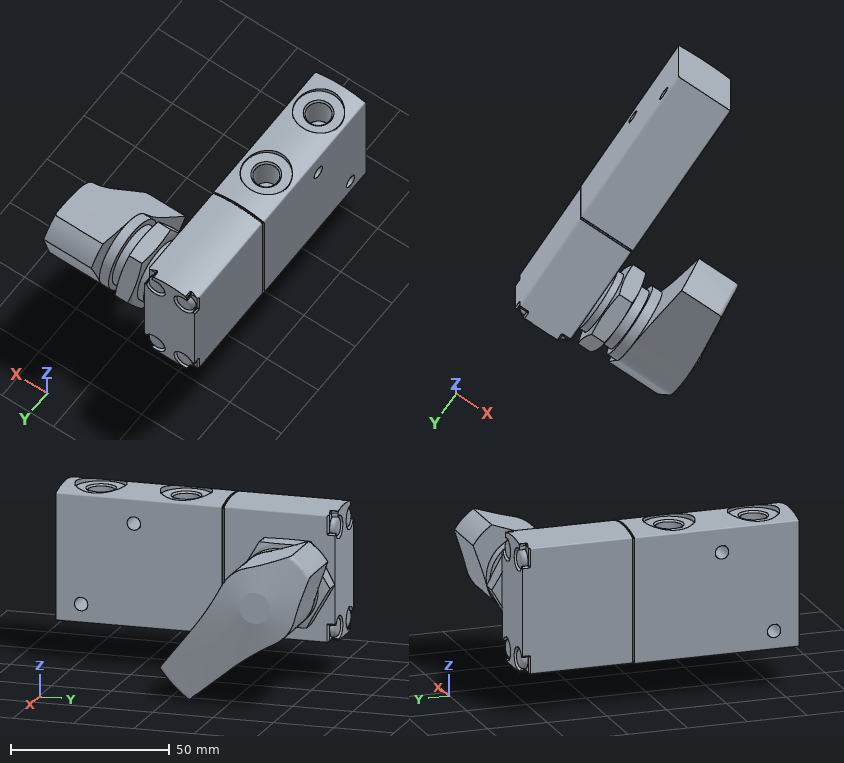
import cadquery as cq
import math


overall_length = 96.0

valve_width = 20.0
valve_height = 43.6
crown_rise = 1.6
edge_fillet = 0.6
half_width = valve_width / 2
shoulder_z = valve_height - crown_rise

block_length = 55.2
port_y_positions = (11.9, 40.2)
port_face_diameter = 16.5
port_face_depth = 1.6
port_diameter = 8.5
port_mouth_diameter = 9.7
port_depth = 11.5
mounting_hole_diameter = 4.4
mounting_holes_yz = ((8.4, 6.1), (25.9, 34.1))

head_back_y = 92.6
head_inset = 0.2
seam_width = 0.6
seam_inset = 0.6
head_face_x = half_width - head_inset

pocket_diameter = 7.5
pocket_depth = 2.1
notch_width = 3.0
notch_height = 5.8
notch_chamfer = 0.6
notch_flare_angle = 45.0
crown_flare_rise = 0.9
screw_head_diameter = 6.8
screw_head_height = 1.9
screw_head_fillet = 1.5
screw_edge_distance = 4.5

knob_end_x = 49.5
knob_turn = 45.0
hub_radius = 13.05
tail_radius = 20.6
tail_end_angle = 12.4
tail_flank_length = 14.5
tail_flank_half_width = 7.1
tail_hub_angle = 59.0
pointer_radius = 41.55
pointer_end_angle = 170.4
pointer_flank_length = 24.1
pointer_flank_half_width = 8.6
pointer_hub_angle = 107.0
dome_apex_x = 50.4
dome_slope = 0.17
dome_overhang = 7.7
tip_fillet = 1.4

axis_y = overall_length - tail_radius * math.cos(math.radians(knob_turn - tail_end_angle))
axis_z = 21.1
neck_diameter = 22.0
neck_groove_diameter = 2.5
collar_diameter = 26.0
collar_start_x = 24.5
collar_end_x = 28.0

nut_start_x = 14.7
nut_end_x = 20.7
nut_across_flats = 27.1
nut_chamfer_angle = 15.0


def valve_section(start_y, end_y, side_inset=0, top_inset=0):
    """Bar with the crowned section, drawn in by side_inset at the sides and underside and top_inset above."""
    side = half_width - side_inset
    top = valve_height - top_inset
    shoulder = shoulder_z - top_inset
    bar = (
        cq.Workplane("XZ", origin=(0, start_y, 0))
        .moveTo(-side, side_inset)
        .lineTo(side, side_inset)
        .lineTo(side, shoulder)
        .threePointArc((0, top), (-side, shoulder))
        .close()
        .extrude(start_y - end_y)
    )
    return bar.edges("|Y").fillet(edge_fillet)


def neck_cylinder(diameter, start_x, end_x):
    """Cylinder on the neck axis."""
    return (
        cq.Workplane("YZ", origin=(start_x, axis_y, axis_z))
        .circle(diameter / 2)
        .extrude(end_x - start_x)
    )


def port_cutter(port_y):
    """Flat spotface with a chamfered blind hole below it."""
    chamfer = (port_mouth_diameter - port_diameter) / 2
    face_z = valve_height - port_face_depth
    spotface = (
        cq.Workplane("XY", origin=(0, port_y, face_z))
        .circle(port_face_diameter / 2)
        .extrude(2 * port_face_depth)
    )
    bore = (
        cq.Workplane("XZ", origin=(0, port_y, face_z))
        .lineTo(port_mouth_diameter / 2, 0)
        .lineTo(port_diameter / 2, -chamfer)
        .lineTo(port_diameter / 2, -port_depth)
        .lineTo(0, -port_depth)
        .close()
        .revolve(360, (0, 0, 0), (0, 1, 0))
    )
    return spotface.union(bore)


def make_port_block():
    """Block with two ports on top and two holes through its sides."""
    block = valve_section(0, block_length)
    for port_y in port_y_positions:
        block = block.cut(port_cutter(port_y))
    mounting_holes = (
        cq.Workplane("YZ")
        .pushPoints(mounting_holes_yz)
        .circle(mounting_hole_diameter / 2)
        .extrude(half_width, both=True)
    )
    return block.cut(mounting_holes)


def corner_notch(side, vertical):
    """Notch at one back corner of the head, flared where it breaks through the outside.

    Its box is centred on the corner, so only the quarter inside the head cuts material.
    side and vertical are the X and Z signs of the corner.
    """
    corner_x = side * head_face_x
    corner_z = shoulder_z if vertical > 0 else head_inset
    size_x = 2 * notch_width
    size_y = 2 * pocket_depth
    size_z = 2 * notch_height
    end_z = corner_z + crown_flare_rise if vertical > 0 else corner_z
    side_start = (corner_x - side * notch_chamfer, head_back_y, corner_z)
    end_start = (corner_x, head_back_y, end_z - vertical * notch_chamfer)
    side_plane = cq.Plane(origin=side_start, xDir=(0, 1, 0), normal=(side, 0, 0))
    end_plane = cq.Plane(origin=end_start, xDir=(1, 0, 0), normal=(0, 0, vertical))
    notch = cq.Workplane("XY").box(size_x, size_y, size_z).translate((corner_x, head_back_y, corner_z))
    side_flare = cq.Workplane(side_plane).rect(size_y, size_z).extrude(notch_chamfer, taper=-notch_flare_angle)
    end_flare = cq.Workplane(end_plane).rect(size_x, size_y).extrude(notch_chamfer, taper=-notch_flare_angle)
    return notch.union(side_flare).union(end_flare)


def back_cylinder(diameter, start_y, length, side, vertical):
    """Cylinder along Y on the screw axis of one back corner."""
    screw_x = side * (half_width - screw_edge_distance)
    screw_z = shoulder_z - screw_edge_distance if vertical > 0 else screw_edge_distance
    return cq.Workplane("XZ", origin=(screw_x, start_y, screw_z)).circle(diameter / 2).extrude(-length)


def make_neck():
    """Threaded neck with a round groove at its root and a collar at its end."""
    neck = neck_cylinder(neck_diameter, head_face_x, collar_start_x)
    groove = (
        cq.Workplane("XY", origin=(head_face_x + neck_groove_diameter / 2, axis_y, axis_z))
        .moveTo(0, neck_diameter / 2)
        .circle(neck_groove_diameter / 2)
        .revolve(360, (0, 0, 0), (1, 0, 0))
    )
    collar = neck_cylinder(collar_diameter, collar_start_x, collar_end_x)
    return neck.cut(groove).union(collar)


def make_head():
    """Head with its seam lip, corner screws and neck."""
    head = valve_section(block_length + seam_width, head_back_y, head_inset)
    seam = valve_section(block_length, block_length + seam_width, seam_inset, seam_inset)
    head = head.union(seam)

    pocket_floor_y = head_back_y - pocket_depth
    for side in (-1, 1):
        for vertical in (-1, 1):
            pocket = back_cylinder(pocket_diameter, pocket_floor_y, pocket_depth, side, vertical)
            screw_head = back_cylinder(screw_head_diameter, pocket_floor_y, screw_head_height, side, vertical)
            screw_head = screw_head.faces(">Y").edges().fillet(screw_head_fillet)
            head = head.cut(pocket).cut(corner_notch(side, vertical)).union(screw_head)

    return head.union(make_neck())


def make_nut():
    """Hexagon nut with corners along Y, chamfered on both faces."""
    across_corners = nut_across_flats / math.cos(math.pi / 6)
    corner_radius = across_corners / 2
    face_radius = nut_across_flats / 2
    chamfer = (corner_radius - face_radius) * math.tan(math.radians(nut_chamfer_angle))
    thickness = nut_end_x - nut_start_x
    hexagon = (
        cq.Workplane("YZ", origin=(nut_start_x, axis_y, axis_z))
        .polygon(6, across_corners)
        .extrude(thickness)
    )
    chamfered_disc = (
        cq.Workplane("XY", origin=(nut_start_x, axis_y, axis_z))
        .lineTo(0, face_radius)
        .lineTo(chamfer, corner_radius)
        .lineTo(thickness - chamfer, corner_radius)
        .lineTo(thickness, face_radius)
        .lineTo(thickness, 0)
        .close()
        .revolve(360, (0, 0, 0), (1, 0, 0))
    )
    bore = neck_cylinder(neck_diameter, nut_start_x, nut_end_x)
    return hexagon.intersect(chamfered_disc).cut(bore)


def circle_point(radius, angle):
    """Point on a circle about the neck axis, at an angle from the tail of the knob."""
    turn = math.radians(angle)
    return (radius * math.cos(turn), radius * math.sin(turn))


def make_knob():
    """Pointer knob with round ends and a shallow conical top."""
    tail_corner = circle_point(tail_radius, tail_end_angle)
    tail_arc_middle = circle_point(tail_radius, tail_end_angle / 2)
    pointer_corner = circle_point(pointer_radius, pointer_end_angle)
    pointer_arc_middle = circle_point(pointer_radius, (pointer_end_angle + 180) / 2)
    outline = (
        cq.Workplane("YZ", origin=(collar_end_x, 0, 0))
        .moveTo(tail_radius, 0)
        .threePointArc(tail_arc_middle, tail_corner)
        .lineTo(tail_flank_length, tail_flank_half_width)
        .tangentArcPoint(circle_point(hub_radius, tail_hub_angle), relative=False)
        .threePointArc((0, hub_radius), circle_point(hub_radius, pointer_hub_angle))
        .tangentArcPoint((-pointer_flank_length, pointer_flank_half_width), relative=False)
        .lineTo(*pointer_corner)
        .threePointArc(pointer_arc_middle, (-pointer_radius, 0))
        .mirrorX()
    )
    blank = outline.extrude(knob_end_x - collar_end_x)

    top_radius = (dome_apex_x - knob_end_x) / dome_slope
    rim_radius = pointer_radius + dome_overhang
    dome = (
        cq.Workplane("XZ")
        .moveTo(collar_end_x, 0)
        .lineTo(knob_end_x, 0)
        .lineTo(knob_end_x, top_radius)
        .lineTo(dome_apex_x - dome_slope * rim_radius, rim_radius)
        .lineTo(collar_end_x, rim_radius)
        .close()
        .revolve(360, (0, 0, 0), (1, 0, 0))
    )
    knob = blank.intersect(dome)
    for end_radius in (tail_radius, -pointer_radius):
        end_rim = (dome_apex_x - dome_slope * abs(end_radius), end_radius, 0)
        knob = knob.edges(cq.selectors.NearestToPointSelector(end_rim)).fillet(tip_fillet)
    return knob.rotate((0, 0, 0), (1, 0, 0), knob_turn).translate((0, axis_y, axis_z))


port_block = make_port_block()
head = make_head()
nut = make_nut()
knob = make_knob()

result = cq.Compound.makeCompound([port_block.val(), head.val(), nut.val(), knob.val()])